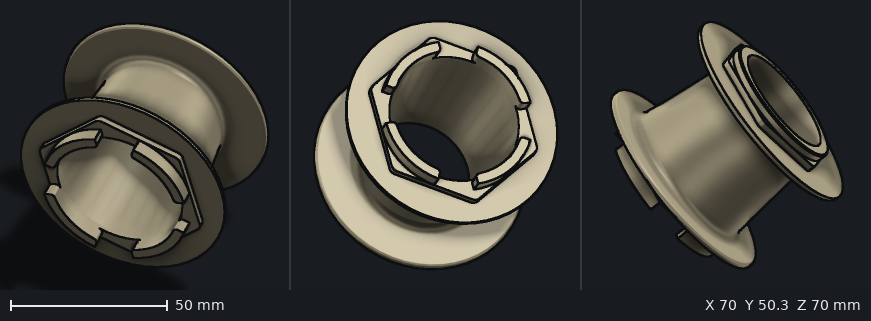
import cadquery as cq
import math

length = 50.3
lug_height = 5.0
hex_thickness = 2.4
front_flange_start = lug_height + hex_thickness
flange_thickness = 1.95
rear_collar_height = 2.7
rear_flange_end = length - rear_collar_height - hex_thickness
front_flange_inner = front_flange_start + flange_thickness
rear_flange_inner = rear_flange_end - flange_thickness

flange_radius = 35.0
flange_edge_fillet = 1.05
front_barrel_radius = 24.4
rear_barrel_radius = 20.8
barrel_fillet = 2.95
front_bore_radius = 21.5
rear_bore_radius = 18.0
bore_entry_depth = 1.5
front_hex_inradius = 24.9
rear_hex_inradius = 21.9
hex_corner_fillet = 2.5
hex_turn = -15
collar_chamfer = 0.4

lug_gap_angle = 15.4
lug_corner_fillet = 1.4
lug_outer_radius = 24.85


def along_y(start):
    """Workplane whose normal points along +Y, placed at the given Y."""
    return cq.Workplane("XZ", origin=(0, start, 0)).transformed(rotate=(180, 0, 0))


def cylinder(start, end, radius):
    return along_y(start).circle(radius).extrude(end - start)


def cone(start, end, start_radius, end_radius):
    profile = [(0, start), (start_radius, start), (end_radius, end), (0, end)]
    return cq.Workplane("XY").polyline(profile).close().revolve(360, (0, 0, 0), (0, 1, 0))


def hex_plate(start, inradius):
    diameter = 2 * inradius / math.cos(math.radians(30))
    plate = along_y(start).polygon(6, diameter).extrude(hex_thickness)
    plate = plate.edges("|Y").fillet(hex_corner_fillet)
    return plate.rotate((0, 0, 0), (0, -1, 0), hex_turn)


def lug(middle_angle):
    """Arc-shaped lug with radial ends and rounded inner corners."""
    half_span = 45 - lug_gap_angle

    def point(radius, offset):
        angle = math.radians(middle_angle + offset)
        return (radius * math.cos(angle), radius * math.sin(angle))

    outline = (
        along_y(0)
        .moveTo(*point(front_bore_radius, -half_span))
        .lineTo(*point(lug_outer_radius, -half_span))
        .threePointArc(point(lug_outer_radius, 0), point(lug_outer_radius, half_span))
        .lineTo(*point(front_bore_radius, half_span))
        .threePointArc(point(front_bore_radius, 0), point(front_bore_radius, -half_span))
        .close()
    )
    inner_corners = outline.extrude(lug_height).edges("|Y").filter(
        lambda edge: math.hypot(edge.Center().x, edge.Center().z) < front_bore_radius + 0.1
    )
    return inner_corners.fillet(lug_corner_fillet)


front_flange = cylinder(front_flange_start, front_flange_inner, flange_radius)
front_flange = front_flange.faces(">Y").edges().fillet(flange_edge_fillet)
rear_flange = cylinder(rear_flange_inner, rear_flange_end, flange_radius)
rear_flange = rear_flange.faces("<Y").edges().fillet(flange_edge_fillet)
barrel = cone(front_flange_inner, rear_flange_inner, front_barrel_radius, rear_barrel_radius)
spool = front_flange.union(barrel).union(rear_flange)
barrel_ends = spool.edges("%CIRCLE").filter(
    lambda edge: edge.radius() < front_barrel_radius + 0.1
)
spool = barrel_ends.fillet(barrel_fillet)

collar = cylinder(rear_flange_end, length, rear_hex_inradius)
collar = collar.faces(">Y").edges().chamfer(collar_chamfer)
body = spool.union(hex_plate(lug_height, front_hex_inradius))
body = body.union(hex_plate(rear_flange_end, rear_hex_inradius)).union(collar)

bore_taper_start = lug_height + bore_entry_depth
body = body.cut(cylinder(lug_height, bore_taper_start, front_bore_radius))
body = body.cut(cone(bore_taper_start, length, front_bore_radius, rear_bore_radius))

for lug_angle in (45, 135, 225, 315):
    body = body.union(lug(lug_angle), clean=False)

result = body